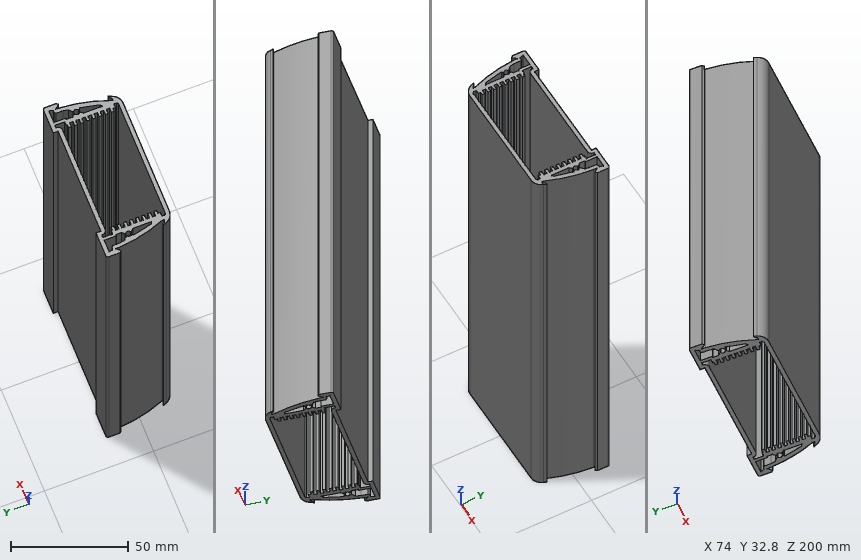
import cadquery as cq

length = 200.0
half_width = 37.0
depth = 32.8

panel_thickness = 2.0
flange_thickness = 2.0
rear_panel_recess = 2.2
flange_inner_x = 24.8
flange_corner_radius = 1.0
flange_front = depth - flange_thickness
rear_panel_back = depth - rear_panel_recess
rear_panel_front = rear_panel_back - panel_thickness

front_corner_x = 26.5
lip_root = (31.5, 3.5)
lip_tip = (32.0, 4.8)
lip_inner_tip = (31.5, 4.8)
groove_floor = (30.5, 3.5)
groove_side_x = 29.5

wall_front = (29.8, 4.5)
wall_middle = (33.5, 16.8)
wall_rear = (34.5, 26.0)
hook_root_y = 27.8
hook_tip = (36.2, 25.8)
hook_bevel_y = 26.5

web_inner_x = 26.5
web_outer_x = 28.5
web_front_y = 3.8
web_rear_y = 26.5
neck_inner_x = 27.8
neck_outer_x = 29.2
neck_outer_end_y = 25.2
neck_bevel = 0.5

channel_front = (29.5, 9.5)
channel_end_y = 8.8
channel_middle = (31.2, 16.8)
channel_rear = (32.8, 25.2)
shoulder_y = 29.0
shoulder_bevel = 0.5
pocket_bottom_x = 34.5
pocket_top_x = 35.0

port_x = 30.2
port_y = 20.0
port_radius = 1.2
jaw_gap = 1.2
jaw_tip_height = 3.0
jaw_root_height = 5.2
outer_jaw_root_x = 33.2
outer_jaw_rear_y = 23.5

rib_count = 8
rib_pitch = 2.8
rib_thickness = 1.3
rib_tip_x = 24.5
first_rib_y = 5.5
land_inner_x = 26.0


def sweep(sketch):
    """Close a profile and extrude it over the full length."""
    return sketch.close().extrude(length)


def box(x_min, x_max, y_min, y_max):
    """Full-length bar between two corners of the profile."""
    bar = cq.Workplane("XY").box(x_max - x_min, y_max - y_min, length, centered=False)
    return bar.translate((x_min, y_min, 0))


def outer_body():
    """Right half of the outside outline, without cavities."""
    body = sweep(
        cq.Workplane("XY")
        .lineTo(front_corner_x, 0)
        .tangentArcPoint(lip_root, relative=False)
        .lineTo(*lip_tip)
        .lineTo(*lip_inner_tip)
        .lineTo(*groove_floor)
        .lineTo(groove_side_x, groove_floor[1])
        .lineTo(*wall_front)
        .threePointArc(wall_middle, wall_rear)
        .lineTo(wall_rear[0], hook_root_y)
        .lineTo(*hook_tip)
        .lineTo(half_width, hook_bevel_y)
        .lineTo(half_width, depth)
        .lineTo(flange_inner_x, depth)
        .lineTo(flange_inner_x, rear_panel_back)
        .lineTo(0, rear_panel_back)
    )
    flange_corner = cq.selectors.NearestToPointSelector((half_width, depth, length / 2))
    return body.edges(flange_corner).fillet(flange_corner_radius)


def main_cavity():
    """Right half of the main cavity, including the undercuts beside the necks."""
    return sweep(
        cq.Workplane("XY")
        .moveTo(0, panel_thickness)
        .lineTo(neck_inner_x - neck_bevel, panel_thickness)
        .lineTo(neck_inner_x, panel_thickness + neck_bevel)
        .lineTo(neck_inner_x, web_front_y)
        .lineTo(web_inner_x, web_front_y)
        .lineTo(web_inner_x, web_rear_y)
        .lineTo(neck_inner_x, web_rear_y)
        .lineTo(neck_inner_x, flange_front)
        .lineTo(web_inner_x, flange_front)
        .lineTo(web_inner_x, rear_panel_back)
        .radiusArc((flange_inner_x, rear_panel_front), panel_thickness)
        .lineTo(0, rear_panel_front)
    )


def side_channel():
    """Closed channel between the web and the bowed side wall."""
    return sweep(
        cq.Workplane("XY")
        .moveTo(web_outer_x, channel_end_y)
        .lineTo(*channel_front)
        .threePointArc(channel_middle, channel_rear)
        .lineTo(channel_rear[0], shoulder_y - shoulder_bevel)
        .lineTo(channel_rear[0] + shoulder_bevel, shoulder_y)
        .lineTo(pocket_bottom_x, shoulder_y)
        .lineTo(pocket_top_x, flange_front)
        .lineTo(neck_outer_x, flange_front)
        .lineTo(neck_outer_x, neck_outer_end_y)
        .lineTo(web_outer_x, neck_outer_end_y)
    )


def screw_port():
    """Pair of jaws on the channel walls, hollowed by the screw bore."""
    inner_tip_x = port_x - jaw_gap / 2
    outer_tip_x = port_x + jaw_gap / 2
    inner_jaw = sweep(
        cq.Workplane("XY")
        .moveTo(web_outer_x, port_y - jaw_root_height / 2)
        .lineTo(inner_tip_x, port_y - jaw_tip_height / 2)
        .lineTo(inner_tip_x, port_y + jaw_tip_height / 2)
        .lineTo(web_outer_x, port_y + jaw_root_height / 2)
    )
    outer_jaw = sweep(
        cq.Workplane("XY")
        .moveTo(outer_jaw_root_x, port_y - jaw_root_height / 2)
        .lineTo(outer_tip_x, port_y - jaw_tip_height / 2)
        .lineTo(outer_tip_x, port_y + jaw_tip_height / 2)
        .lineTo(outer_jaw_root_x, outer_jaw_rear_y)
    )
    bore = cq.Workplane("XY").center(port_x, port_y).circle(port_radius).extrude(length)
    return inner_jaw.union(outer_jaw).cut(bore)


def guide_ribs():
    """Evenly spaced ribs; the first and last are stepped out to the ends of the web."""
    front_land = box(land_inner_x, web_outer_x, web_front_y, first_rib_y)
    last_rib_y = first_rib_y + (rib_count - 1) * rib_pitch
    rear_land = box(land_inner_x, web_outer_x, last_rib_y, web_rear_y)
    ribs = front_land.union(rear_land)
    for index in range(rib_count):
        rib_front = first_rib_y + index * rib_pitch - rib_thickness / 2
        ribs = ribs.union(box(rib_tip_x, web_outer_x, rib_front, rib_front + rib_thickness))
    return ribs


half = outer_body().cut(main_cavity()).cut(side_channel()).union(screw_port()).union(guide_ribs())
result = half.union(half.mirror("YZ")).clean()